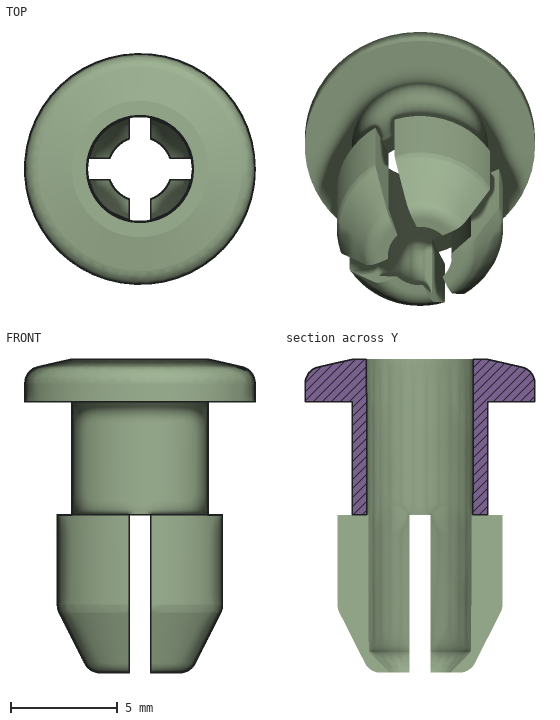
import cadquery as cq

total_height = 14.7
head_height = 2.0
sleeve_height = 7.4

head_radius = 5.4
head_crown_drop = 0.5
head_edge_fillet = 0.8

shank_radius = 3.2
bore_top_radius = 2.5
bore_end_radius = 2.45

sleeve_radius = 3.9
tip_taper_height = 3.0
tip_taper_inset = 1.5
tip_fillet = 0.8
tip_hole_radius = 1.5
bore_taper_height = 1.0
slot_width = 1.0

head_base_z = total_height - head_height


def revolve_about_z(profile):
    """Revolve a closed profile drawn in the XZ plane (local x = radius, local y = height)."""
    return profile.close().revolve(360, (0, 0, 0), (0, 1, 0))


def make_head():
    """Low domed flange: flat centre, conical crown and rounded rim."""
    profile = (
        cq.Workplane("XZ")
        .moveTo(0, head_base_z)
        .lineTo(head_radius, head_base_z)
        .lineTo(head_radius, total_height - head_crown_drop)
        .lineTo(shank_radius, total_height)
        .lineTo(0, total_height)
    )
    return revolve_about_z(profile).faces("%CYLINDER").edges(">Z").fillet(head_edge_fillet)


def make_shank():
    """Plain cylinder joining the head to the split sleeve."""
    shank_length = head_base_z - sleeve_height
    return cq.Workplane("XY", origin=(0, 0, sleeve_height)).circle(shank_radius).extrude(shank_length)


def make_sleeve():
    """Sleeve with a tapered lead-in, rounded at both ends of the taper and split by a cross slot."""
    profile = (
        cq.Workplane("XZ")
        .lineTo(sleeve_radius - tip_taper_inset, 0)
        .lineTo(sleeve_radius, tip_taper_height)
        .lineTo(sleeve_radius, sleeve_height)
        .lineTo(0, sleeve_height)
    )
    sleeve = revolve_about_z(profile).faces("%CONE").edges("%CIRCLE").fillet(tip_fillet)
    slot_length = 2 * sleeve_radius + slot_width
    for angle in (0, 90):
        slot = cq.Workplane("XY").rect(slot_length, slot_width).extrude(sleeve_height)
        sleeve = sleeve.cut(slot.rotate((0, 0, 0), (0, 0, 1), angle))
    return sleeve


def make_bore():
    """Through bore with slight draft that funnels down to the smaller hole at the tip."""
    profile = (
        cq.Workplane("XZ")
        .lineTo(tip_hole_radius, 0)
        .lineTo(bore_end_radius, bore_taper_height)
        .lineTo(bore_top_radius, total_height)
        .lineTo(0, total_height)
    )
    return revolve_about_z(profile)


result = make_head().union(make_shank()).union(make_sleeve()).cut(make_bore())